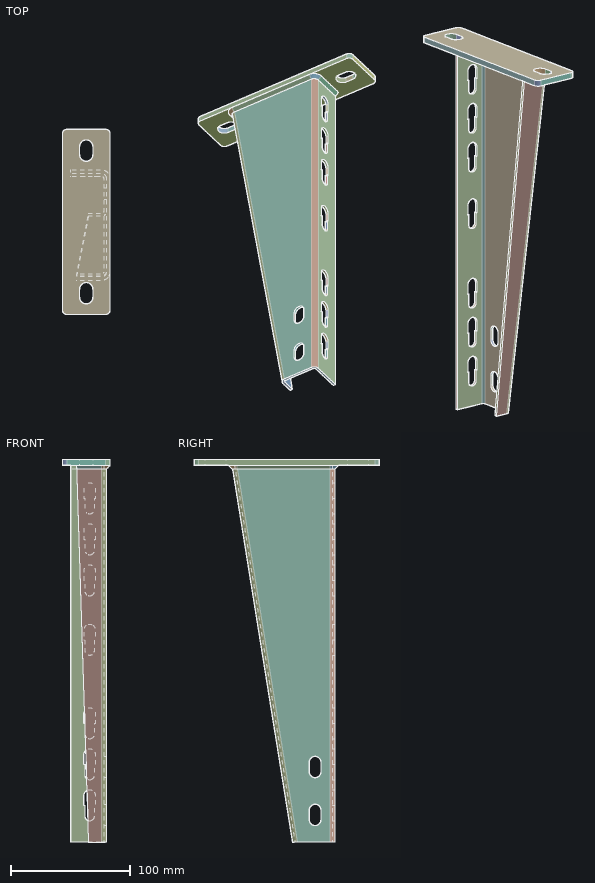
import cadquery as cq
import math

total_height = 320.5
plate_width = 40.0
plate_length = 155.0
plate_thickness = 5.0
plate_corner_radius = 4.0

plate_slot_width = 11.0
plate_slot_length = 17.5
plate_slot_spacing = 119.2

sheet_thickness = 2.2
bend_inner_radius = 2.0
bend_outer_radius = bend_inner_radius + sheet_thickness
web_outer_x = 17.0
rear_edge_x = -13.0
rear_outer_y = 40.5
front_tip_y = 4.8
front_top_y = -45.8
front_edge_top_x = -8.0
front_edge_bottom_x = 2.0
weld_leg = 3.0

web_slot_width = 9.5
web_slot_length = 17.5
web_slot_y = 23.7
web_slot_lowest_z = 23.0
web_slot_spacing = 40.0
web_slot_count = 2

rear_slot_x = 3.0
rear_slot_length = 26.0
rear_slot_upper_width = 9.5
rear_slot_lower_width = 7.7
rear_slot_lowest_z = 31.0
rear_slot_pitch = 34.3
rear_slot_lower_gap = 69.8
rear_slot_upper_gap = 49.5

arm_top_z = total_height - plate_thickness
slope_angle = math.atan2(front_tip_y - front_top_y, arm_top_z)
arm_bottom_z = sheet_thickness * math.sin(slope_angle)
front_inner_shift = sheet_thickness / math.cos(slope_angle)


def make_head_plate():
    """Flat rounded plate with one slot near each end."""
    plate = (
        cq.Workplane("XY")
        .workplane(offset=arm_top_z)
        .rect(plate_width, plate_length)
        .extrude(plate_thickness)
        .edges("|Z")
        .fillet(plate_corner_radius)
    )
    slots = (
        cq.Workplane("XY")
        .workplane(offset=arm_top_z)
        .rarray(3.2, plate_slot_spacing, 1, 2)
        .slot2D(plate_slot_length, plate_slot_width, 90)
        .extrude(plate_thickness)
    )
    return plate.cut(slots)


def make_arm_envelope():
    """Solid block with the outer shape of the folded arm, its two bends rounded."""
    inner_bottom_y = front_tip_y + sheet_thickness * math.cos(slope_angle)
    side_outline = [
        (rear_outer_y, arm_bottom_z),
        (inner_bottom_y, arm_bottom_z),
        (front_tip_y, 0),
        (front_top_y, arm_top_z),
        (rear_outer_y, arm_top_z),
    ]
    block = (
        cq.Workplane("YZ")
        .workplane(offset=rear_edge_x)
        .polyline(side_outline)
        .close()
        .extrude(web_outer_x - rear_edge_x)
    )
    bend_edges = block.faces(">X").edges(cq.selectors.BoxSelector(
        (web_outer_x - sheet_thickness, front_top_y, total_height / 3),
        (web_outer_x + sheet_thickness, rear_outer_y + sheet_thickness, total_height * 2 / 3),
    ))
    return bend_edges.fillet(bend_outer_radius)


def make_weld_collar():
    """Sloping weld bead around the outside of the arm, just under the head plate."""
    length_x = web_outer_x - rear_edge_x + 2 * weld_leg
    length_y = rear_outer_y - front_top_y + 2 * weld_leg
    collar = (
        cq.Workplane("XY")
        .workplane(offset=arm_top_z)
        .center((web_outer_x + rear_edge_x) / 2, (rear_outer_y + front_top_y) / 2)
        .sketch()
        .rect(length_x, length_y)
        .vertices(">X")
        .fillet(bend_outer_radius + weld_leg)
        .finalize()
        .extrude(-weld_leg, taper=45)
    )
    left_of_edge = (
        cq.Workplane("XY")
        .box(plate_width, plate_length, total_height, centered=(True, True, False))
        .translate((rear_edge_x - plate_width / 2, 0, 0))
    )
    return collar.cut(left_of_edge)


def make_arm_cavity():
    """Space between the flanges, open towards -X and at both ends."""
    rear_inner_y = rear_outer_y - sheet_thickness
    slope_run = math.tan(slope_angle)
    overrun = plate_thickness

    def front_inner_y(z):
        return front_tip_y + front_inner_shift - z * slope_run

    top_z = arm_top_z
    side_outline = [
        (rear_inner_y, -overrun),
        (front_inner_y(-overrun), -overrun),
        (front_inner_y(top_z), top_z),
        (rear_inner_y, top_z),
    ]
    depth = web_outer_x - sheet_thickness + plate_width
    return (
        cq.Workplane("YZ")
        .workplane(offset=-plate_width)
        .polyline(side_outline)
        .close()
        .extrude(depth)
        .faces(">X")
        .edges("not |Y")
        .fillet(bend_inner_radius)
    )


def make_front_trim():
    """Wedge that narrows the front flange towards its lower end."""
    wedge_outline = [
        (-plate_width, 0),
        (front_edge_bottom_x, 0),
        (front_edge_top_x, arm_top_z),
        (-plate_width, arm_top_z),
    ]
    rear_inner_y = rear_outer_y - sheet_thickness
    return (
        cq.Workplane("XZ")
        .workplane(offset=-rear_inner_y)
        .polyline(wedge_outline)
        .close()
        .extrude(plate_length)
    )


def make_web_slot(z):
    """Cutter for one upright slot through the web, centred at height z."""
    return (
        cq.Workplane("YZ", origin=(web_outer_x - bend_outer_radius, web_slot_y, z))
        .slot2D(web_slot_length, web_slot_width, 90)
        .extrude(2 * bend_outer_radius)
    )


def make_rear_slot(z):
    """Cutter for one stepped slot through the rear flange, its step at height z."""
    half_length = rear_slot_length / 2
    upper_radius = rear_slot_upper_width / 2
    lower_radius = rear_slot_lower_width / 2
    return (
        cq.Workplane("XZ", origin=(rear_slot_x, rear_outer_y + sheet_thickness, z))
        .moveTo(-upper_radius, 0)
        .lineTo(-upper_radius, half_length - upper_radius)
        .threePointArc((0, half_length), (upper_radius, half_length - upper_radius))
        .lineTo(upper_radius, 0)
        .lineTo(lower_radius, 0)
        .lineTo(lower_radius, lower_radius - half_length)
        .threePointArc((0, -half_length), (-lower_radius, lower_radius - half_length))
        .lineTo(-lower_radius, 0)
        .close()
        .extrude(3 * sheet_thickness)
    )


def rear_slot_heights():
    """Three slots, a single slot above them, then three more."""
    single_z = rear_slot_lowest_z + 2 * rear_slot_pitch + rear_slot_lower_gap
    upper_group_z = single_z + rear_slot_upper_gap
    lower_group = [rear_slot_lowest_z + i * rear_slot_pitch for i in range(3)]
    upper_group = [upper_group_z + i * rear_slot_pitch for i in range(3)]
    return lower_group + [single_z] + upper_group


def make_arm():
    """Folded sheet arm with its weld bead and slots."""
    arm = make_arm_envelope().union(make_weld_collar())
    arm = arm.cut(make_arm_cavity()).cut(make_front_trim())
    for i in range(web_slot_count):
        arm = arm.cut(make_web_slot(web_slot_lowest_z + i * web_slot_spacing))
    for z in rear_slot_heights():
        arm = arm.cut(make_rear_slot(z))
    return arm


head_plate = make_head_plate()
arm = make_arm()

result = cq.Compound.makeCompound([head_plate.val(), arm.val()])